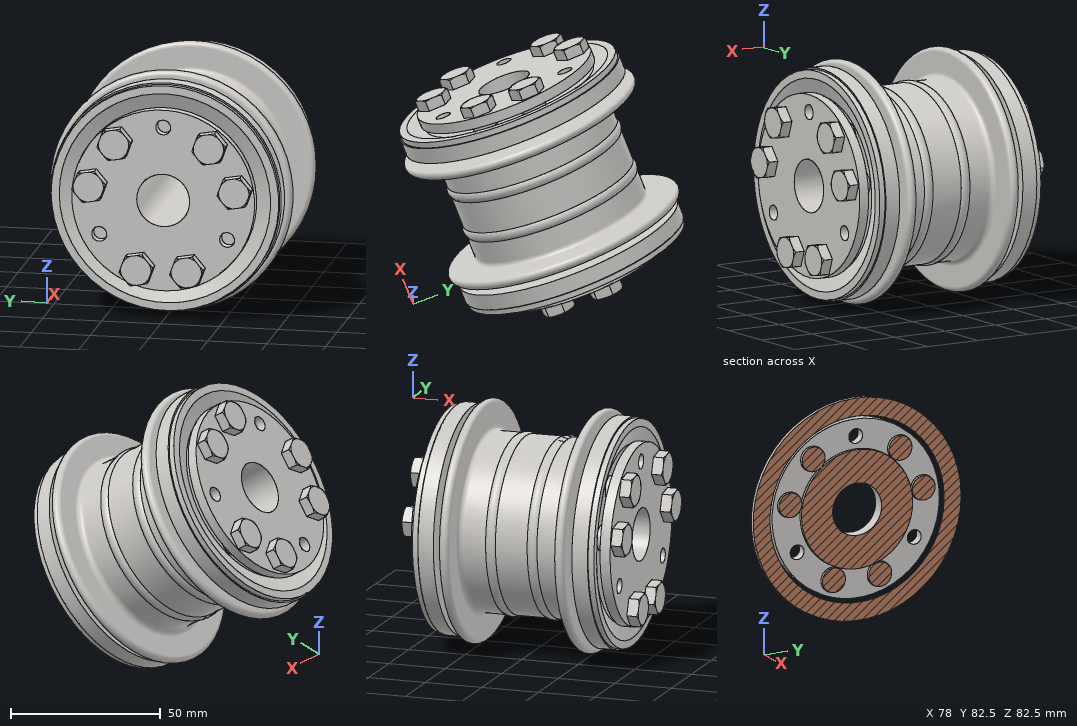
import cadquery as cq
import math

OVERALL_LENGTH = 78.0
HEAD_END = OVERALL_LENGTH / 2
COVER_FACE = 35.15
RING_FACE = 32.1
RING_STEP = 30.0
RING_BACK = 24.5
DISC_CENTER = 20.4
BEAD_CENTER = 7.35

COVER_THICKNESS = 3.55
RECESS_DEPTH = 2.4
DISC_THICKNESS = 3.5
BEAD_WIDTH = 3.5

DISC_DIA = 82.5
RING_DIA = 78.4
RING_STEP_DIA = 77.3
RECESS_RIM_DIA = 71.8
RECESS_FLOOR_DIA = 60.0
COVER_DIA = 62.1
NECK_DIA = 41.4
BARREL_DIA = 61.05
BEAD_DIA = 62.2
BORE_DIA = 18.0

BARREL_FILLET = 2.0

BOLT_CIRCLE_DIA = 50.2
PIN_COUNT = 3
PIN_HOLE_DIA = 5.0
BOLT_ANGLE_FROM_PIN = 40
SPACER_DIA = 8.7
HEX_ACROSS_FLATS = 10.1
HEX_CORNER_TILT = 10
HEAD_FACE_DIA = 10.3
HEAD_CHAMFER_ANGLE = 30

COVER_BACK = COVER_FACE - COVER_THICKNESS
RECESS_FLOOR = RING_FACE - RECESS_DEPTH
BEAD_INNER = BEAD_CENTER - BEAD_WIDTH / 2
BEAD_OUTER = BEAD_CENTER + BEAD_WIDTH / 2


def end_body():
    """Revolve the -X end of the spool: cover plate, ring, disc and bead, all bored through."""
    bore_r = BORE_DIA / 2
    cover_r = COVER_DIA / 2
    neck_r = NECK_DIA / 2
    ring_r = RING_DIA / 2
    ring_step_r = RING_STEP_DIA / 2
    barrel_r = BARREL_DIA / 2
    disc_r = DISC_DIA / 2
    rim_r = DISC_THICKNESS / 2
    disc_outer = DISC_CENTER + rim_r
    disc_inner = DISC_CENTER - rim_r
    groove_r = (RING_BACK - disc_outer) / 2
    fillet_mid = BARREL_FILLET * (1 - math.sqrt(0.5))

    profile = (
        cq.Workplane("XY")
        .moveTo(-BEAD_INNER, bore_r)
        .lineTo(-COVER_FACE, bore_r)
        .lineTo(-COVER_FACE, cover_r)
        .lineTo(-COVER_BACK, cover_r)
        .lineTo(-COVER_BACK, neck_r)
        .lineTo(-RECESS_FLOOR, neck_r)
        .lineTo(-RECESS_FLOOR, RECESS_FLOOR_DIA / 2)
        .lineTo(-RING_FACE, RECESS_RIM_DIA / 2)
        .lineTo(-RING_FACE, ring_step_r)
        .lineTo(-RING_STEP, ring_step_r)
        .lineTo(-RING_STEP, ring_r)
        .lineTo(-RING_BACK, ring_r)
        .lineTo(-RING_BACK, barrel_r + groove_r)
        .threePointArc((-RING_BACK + groove_r, barrel_r), (-disc_outer, barrel_r + groove_r))
        .lineTo(-disc_outer, disc_r - rim_r)
        .threePointArc((-DISC_CENTER, disc_r), (-disc_inner, disc_r - rim_r))
        .lineTo(-disc_inner, barrel_r + BARREL_FILLET)
        .threePointArc(
            (-disc_inner + fillet_mid, barrel_r + fillet_mid),
            (-disc_inner + BARREL_FILLET, barrel_r),
        )
        .lineTo(-BEAD_OUTER, barrel_r)
        .threePointArc((-BEAD_CENTER, BEAD_DIA / 2), (-BEAD_INNER, barrel_r))
        .close()
    )
    return profile.revolve(360, (0, 0, 0), (1, 0, 0))


def bolt_head():
    """Hexagon head along -X from the YZ plane, its outer corners cut back by a cone."""
    height = HEAD_END - COVER_FACE
    corner_dia = HEX_ACROSS_FLATS / math.cos(math.pi / 6)
    face_r = HEAD_FACE_DIA / 2
    cone_base_r = face_r + height / math.tan(math.radians(HEAD_CHAMFER_ANGLE))

    hexagon = (
        cq.Workplane("YZ")
        .polygon(6, corner_dia)
        .extrude(-height)
        .rotate((0, 0, 0), (1, 0, 0), -HEX_CORNER_TILT)
    )
    cone = (
        cq.Workplane("XY")
        .polyline([(0, 0), (0, cone_base_r), (-height, face_r), (-height, 0)])
        .close()
        .revolve(360, (0, 0, 0), (1, 0, 0))
    )
    return hexagon.intersect(cone)


def bolt_circle_place(x, angle):
    """Point on the bolt circle at the given X, with the angle measured from +Z."""
    turn = math.radians(angle)
    radius = BOLT_CIRCLE_DIA / 2
    return (x, radius * math.sin(turn), radius * math.cos(turn))


def spool_end():
    """The -X end with its pin holes, and with bolt heads and spacers on both sides of each hole."""
    end = end_body()
    head = bolt_head()
    spacer = cq.Workplane("YZ").circle(SPACER_DIA / 2).extrude(COVER_BACK - RECESS_FLOOR)
    pin_hole = cq.Workplane("YZ").circle(PIN_HOLE_DIA / 2).extrude(COVER_THICKNESS)

    for i in range(PIN_COUNT):
        pin_angle = i * 360 / PIN_COUNT
        end = end.cut(pin_hole.translate(bolt_circle_place(-COVER_FACE, pin_angle)))
        for side in (-1, 1):
            bolt_angle = pin_angle + side * BOLT_ANGLE_FROM_PIN
            end = end.union(head.translate(bolt_circle_place(-COVER_FACE, bolt_angle)))
            end = end.union(spacer.translate(bolt_circle_place(-COVER_BACK, bolt_angle)))
    return end


def middle_barrel():
    """Plain bored barrel between the two beads."""
    return (
        cq.Workplane("YZ", origin=(-BEAD_INNER, 0, 0))
        .circle(BARREL_DIA / 2)
        .circle(BORE_DIA / 2)
        .extrude(2 * BEAD_INNER)
    )


left_end = spool_end()
right_end = left_end.rotate((0, 0, 0), (0, 0, 1), 180)
result = middle_barrel().union(left_end).union(right_end)